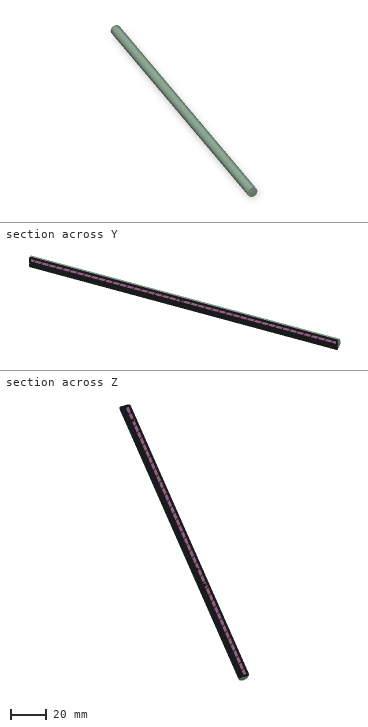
import math

import cadquery as cq

rod_length = 200.0
rod_diameter = 6.0
end_chamfer = 0.3

bore_diameter = 0.75
bore_pitch_diameter = 2.6
bore_angle = 135.0
bore_count = 2


def cylinder_along_x(diameter, y=0.0, z=0.0):
    """Full-length cylinder parallel to X, with its axis at (y, z)."""
    end_plane = cq.Workplane("YZ", origin=(-rod_length / 2, y, z))
    return end_plane.circle(diameter / 2).extrude(rod_length)


def make_rod():
    """Solid rod with its -X rim chamfered."""
    return cylinder_along_x(rod_diameter).faces("<X").edges().chamfer(end_chamfer)


def cut_bores(rod):
    """Evenly spaced bores through the full length of the rod."""
    pitch_radius = bore_pitch_diameter / 2
    for index in range(bore_count):
        angle = math.radians(bore_angle + index * 360.0 / bore_count)
        y = pitch_radius * math.cos(angle)
        z = pitch_radius * math.sin(angle)
        rod = rod.cut(cylinder_along_x(bore_diameter, y, z))
    return rod


result = cut_bores(make_rod())